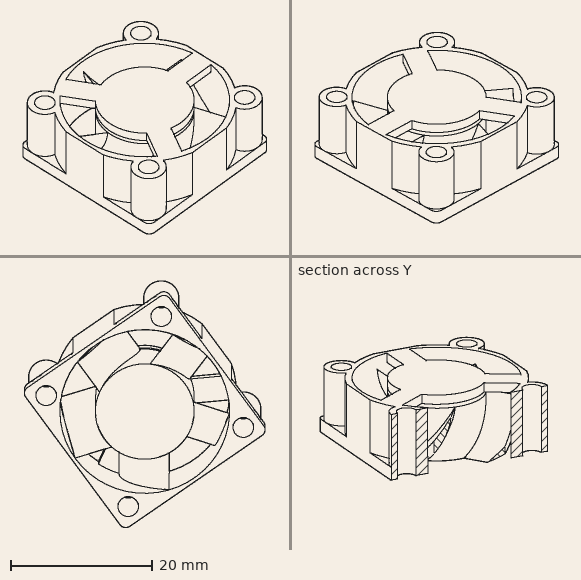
import cadquery as cq

side = 25.0
height = 10.0
flange_thickness = 2.0
flange_corner_radius = 1.0
bore_diameter = 24.0
ring_outer_diameter = 26.0
mount_spacing = 20.0
boss_diameter = side - mount_spacing
mount_hole_diameter = 2.9

hub_diameter = 14.0
cap_thickness = 1.4
spoke_width = 3.6
spoke_count = 3

rotor_height = 8.0
blade_count = 5
blade_width = 7.1
blade_tip_distance = 11.45
blade_lower_sag = 1.8
blade_upper_sag = 0.52

first_angle = 90.0


def disc(diameter, thickness, bottom=0.0):
    """Solid cylinder on the Z axis."""
    return cq.Workplane("XY").workplane(offset=bottom).circle(diameter / 2).extrude(thickness)


def block(length_x, length_y, thickness):
    """Box centred on the Z axis, standing on Z = 0."""
    return cq.Workplane("XY").box(length_x, length_y, thickness, centered=(True, True, False))


def at_mounts(workplane):
    """Place points at the four screw positions."""
    return workplane.rect(mount_spacing, mount_spacing, forConstruction=True).vertices()


def make_spoke(angle):
    """Bar from the axis into the ring wall, flush with the top of the housing."""
    reach = (bore_diameter + ring_outer_diameter) / 4
    bar = (
        cq.Workplane("XY")
        .workplane(offset=height - cap_thickness)
        .center(reach / 2, 0)
        .rect(reach, spoke_width)
        .extrude(cap_thickness)
    )
    return bar.rotate((0, 0, 0), (0, 0, 1), angle)


def make_housing():
    flange = block(side, side, flange_thickness).edges("|Z").fillet(flange_corner_radius)
    ring = disc(ring_outer_diameter, height).intersect(block(side, side, height))
    bosses = at_mounts(cq.Workplane("XY")).circle(boss_diameter / 2).extrude(height)
    mount_holes = at_mounts(cq.Workplane("XY")).circle(mount_hole_diameter / 2).extrude(height)

    body = flange.union(ring).union(bosses)
    body = body.cut(mount_holes).cut(disc(bore_diameter, height))
    body = body.union(disc(hub_diameter, cap_thickness, height - cap_thickness))
    for i in range(spoke_count):
        body = body.union(make_spoke(first_angle + i * 360 / spoke_count))
    return body


def chord_point(start, end, sag):
    """Middle of the chord, pushed down and square to it by the sag."""
    run = end[0] - start[0]
    drop = start[1] - end[1]
    chord = (run**2 + drop**2) ** 0.5
    middle_x = (start[0] + end[0]) / 2
    middle_z = (start[1] + end[1]) / 2
    return (middle_x - sag * drop / chord, middle_z - sag * run / chord)


def make_blade(angle):
    """Crescent section between two arcs, extruded radially from the axis to the tip."""
    top = (-blade_width / 2, rotor_height)
    bottom = (blade_width / 2, 0.0)
    blade = (
        cq.Workplane("XZ")
        .moveTo(*top)
        .threePointArc(chord_point(top, bottom, blade_lower_sag), bottom)
        .threePointArc(chord_point(top, bottom, blade_upper_sag), top)
        .close()
        .extrude(-blade_tip_distance)
    )
    return blade.rotate((0, 0, 0), (0, 0, 1), angle - first_angle)


def make_rotor():
    body = disc(hub_diameter, rotor_height)
    for i in range(blade_count):
        body = body.union(make_blade(first_angle + i * 360 / blade_count))
    return body


housing = make_housing()
rotor = make_rotor()

result = cq.Compound.makeCompound([housing.val(), rotor.val()])